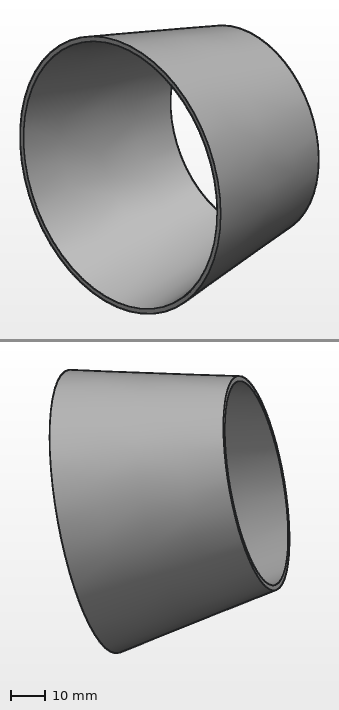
import cadquery as cq

LARGE_DIAMETER = 84.0
SMALL_DIAMETER = 63.5
LENGTH = 50.0
WALL = 1.5

large_radius = LARGE_DIAMETER / 2
small_radius = SMALL_DIAMETER / 2

wall_section = (
    cq.Workplane("XY")
    .moveTo(large_radius - WALL, 0)
    .lineTo(large_radius, 0)
    .lineTo(small_radius, LENGTH)
    .lineTo(small_radius - WALL, LENGTH)
    .close()
)

result = wall_section.revolve(360, (0, 0, 0), (0, 1, 0))